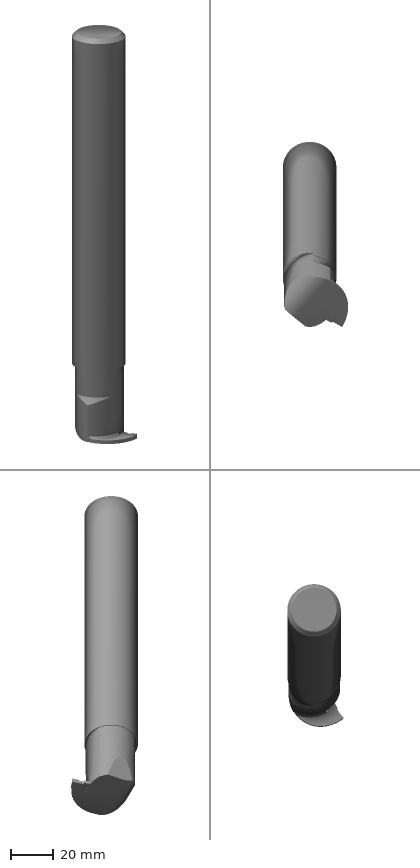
import cadquery as cq
import math

total_length = 200.0
overall_width = 32.5
overall_depth = 27.5
shank_radius = 25.5 / 2
end_chamfer = 2.0

shoulder_z = 35.0
shoulder_rise = 0.8
head_radius = 15.5
head_left_x = -11.0
head_center_x = head_left_x + head_radius
relief_radius = 15.0
head_right_x = 11.8
relief_x = head_right_x - relief_radius
neck_radius = 12.5
ridge_x = 0.5
head_corner_radius = 10.0

recess_top_z = 32.0
recess_bottom_z = 21.8
recess_slope_bottom_z = 18.0
recess_slope_radius = 14.8

taper_top_z = 14.0
taper_depth = 1.8

plate_center_x = 4.5
plate_radius = overall_depth - shank_radius
plate_thickness = 1.8
bevel_size = 1.0

insert_height = 2.5
joint_inner_y = -3.8
tip_x = overall_width - shank_radius
tip_y = -0.5
joint_outer = (18.8, -4.5)
tip_front = (19.5, -2.2)

big = 4 * shank_radius


def block(x0, x1, y0, y1, z0, z1):
    """Box between two opposite corners."""
    return cq.Workplane("XY").box(x1 - x0, y1 - y0, z1 - z0, centered=False).translate((x0, y0, z0))


def make_shank():
    shank = cq.Workplane("XY").workplane(offset=shoulder_z).circle(shank_radius)
    shank = shank.extrude(total_length - shoulder_z)
    shank = shank.faces(">Z").chamfer(end_chamfer)
    slope = (
        cq.Workplane("XZ")
        .moveTo(head_left_x, shoulder_z)
        .lineTo(-shank_radius, shoulder_z + shoulder_rise)
        .lineTo(-shank_radius, shoulder_z)
        .close()
        .extrude(shank_radius, both=True)
    )
    return shank.cut(slope)


def circle_crossing_x(center_x, radius):
    """X where a circle centered on the X axis crosses the neck circle."""
    return (center_x**2 + neck_radius**2 - radius**2) / (2 * center_x)


def make_neck():
    head_back_x = circle_crossing_x(head_center_x, head_radius)
    head_back_y = math.sqrt(neck_radius**2 - head_back_x**2)
    relief_back_x = circle_crossing_x(relief_x, relief_radius)
    relief_back_y = math.sqrt(neck_radius**2 - relief_back_x**2)
    ridge_y = -math.sqrt(relief_radius**2 - (ridge_x - relief_x) ** 2)
    return (
        cq.Workplane("XY")
        .moveTo(relief_back_x, relief_back_y)
        .threePointArc((0, neck_radius), (head_back_x, head_back_y))
        .threePointArc((head_left_x, 0), (ridge_x, ridge_y))
        .threePointArc((head_right_x, 0), (relief_back_x, relief_back_y))
        .close()
        .extrude(shoulder_z)
    )


def cut_recess(neck):
    """Thin the front of the neck, with a conical run-out, below the shank."""
    recess = (
        cq.Workplane("XZ")
        .moveTo(neck_radius, recess_top_z)
        .lineTo(neck_radius, recess_bottom_z)
        .lineTo(recess_slope_radius, recess_slope_bottom_z)
        .lineTo(big, recess_slope_bottom_z)
        .lineTo(big, recess_top_z)
        .close()
        .revolve(360, (0, 0, 0), (0, 1, 0))
    )
    recess = recess.intersect(block(-big, big, -big, 0, 0, shoulder_z))
    collar = cq.Workplane("XY").workplane(offset=recess_top_z).circle(big).circle(shank_radius)
    return neck.cut(recess).cut(collar.extrude(shoulder_z - recess_top_z))


def round_head_corner(neck):
    """Round the lower -X corner about an axis along Y."""
    center_x = head_left_x + head_corner_radius
    corner = block(-big, center_x, -big, big, -big, head_corner_radius)
    round_bar = cq.Workplane("XZ").center(center_x, head_corner_radius)
    round_bar = round_bar.circle(head_corner_radius).extrude(big, both=True)
    return neck.cut(corner.cut(round_bar))


def taper_back(neck):
    wedge = (
        cq.Workplane("YZ")
        .moveTo(neck_radius, taper_top_z)
        .lineTo(neck_radius - taper_depth, 0)
        .lineTo(neck_radius, 0)
        .close()
        .extrude(big, both=True)
    )
    return neck.cut(wedge)


def make_plate():
    """Crescent plate and the bevel joining it to the head, in front of the insert."""
    disc_center = cq.Vector(plate_center_x, 0, 0)
    disc = cq.Workplane(cq.Solid.makeCylinder(plate_radius, plate_thickness, disc_center))
    bevel_limit = cq.Workplane(cq.Solid.makeCylinder(plate_radius, plate_thickness + bevel_size, disc_center))
    bevel_radius = relief_radius + bevel_size
    bevel = cq.Solid.makeCone(
        bevel_radius, relief_radius, bevel_size, pnt=cq.Vector(relief_x, 0, plate_thickness)
    )
    bevel = cq.Workplane(bevel).intersect(bevel_limit)
    front_area = (
        cq.Workplane("XY")
        .moveTo(ridge_x, joint_inner_y)
        .lineTo(head_right_x, joint_inner_y)
        .lineTo(*joint_outer)
        .lineTo(big, joint_outer[1])
        .lineTo(big, -big)
        .lineTo(ridge_x, -big)
        .close()
        .extrude(big)
    )
    return disc.union(bevel).intersect(front_area)


def make_holder():
    neck = taper_back(round_head_corner(cut_recess(make_neck())))
    return make_shank().union(neck).union(make_plate())


def make_insert():
    """Flat insert beside the head, with a raised cutting tip."""
    base = (
        cq.Workplane("XY")
        .polyline(
            [
                (head_right_x, joint_inner_y),
                joint_outer,
                tip_front,
                (tip_x, tip_y),
                (14.8, 0.5),
                (14.5, 1.2),
                (head_right_x, 1.8),
            ]
        )
        .close()
        .extrude(plate_thickness)
    )
    tip = (
        cq.Workplane("XY")
        .polyline([(16.8, 0.0), (18.2, -2.2), tip_front, (tip_x, tip_y)])
        .close()
        .extrude(insert_height)
    )
    return base.union(tip)


holder = make_holder()
insert = make_insert()
result = cq.Compound.makeCompound([holder.val(), insert.val()])